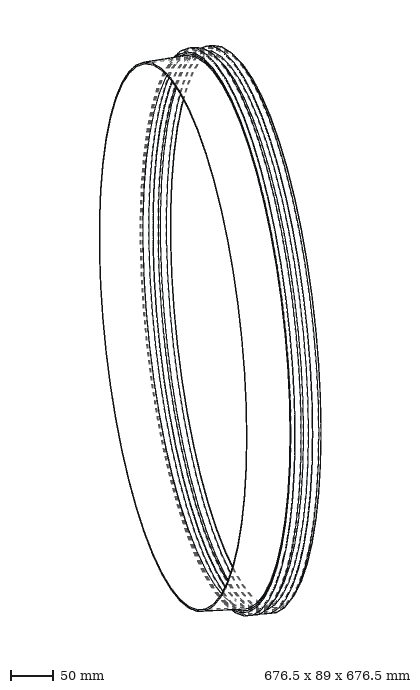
import cadquery as cq

outer_diameter = 676.5
total_length = 89.0
wall = 2.0

bead_height = 4.4
bead_flank_length = 4.0
bead_crest_length = 7.5
valley_length = 6.0
bead_count = 2

step_height = 4.0
skirt_taper = 3.0

crest_radius = outer_diameter / 2
valley_radius = crest_radius - bead_height
skirt_rear_radius = valley_radius - step_height
skirt_front_radius = skirt_rear_radius - skirt_taper

rear_y = total_length / 2
front_y = -total_length / 2
bead_length = bead_crest_length + 2 * bead_flank_length
bead_pitch = bead_length + valley_length
rim_front_y = rear_y - bead_length - (bead_count - 1) * bead_pitch


def bead_line(start_y, offset):
    """Points (radius, y) of one bead, from its rear foot to its front foot."""
    crest_start_y = start_y - bead_flank_length
    crest_end_y = crest_start_y - bead_crest_length
    return [
        (valley_radius - offset, start_y),
        (crest_radius - offset, crest_start_y),
        (crest_radius - offset, crest_end_y),
        (valley_radius - offset, crest_end_y - bead_flank_length),
    ]


def rim_line(offset):
    """Points of all the beads, moved inward by the offset."""
    points = []
    for index in range(bead_count):
        points += bead_line(rear_y - index * bead_pitch, offset)
    return points


def skirt_line(offset, step_y):
    """Points of the skirt, from the step at its rear to its front edge."""
    return [
        (skirt_rear_radius - offset, step_y),
        (skirt_front_radius - offset, front_y),
    ]


outer_line = rim_line(0) + skirt_line(0, rim_front_y)
inner_line = rim_line(wall)
inner_line += skirt_line(wall, rim_front_y + wall)
profile = outer_line + inner_line[::-1]

axis_start = (0, 0)
axis_end = (0, 1)
result = cq.Workplane("XY").polyline(profile).close().revolve(360, axis_start, axis_end)